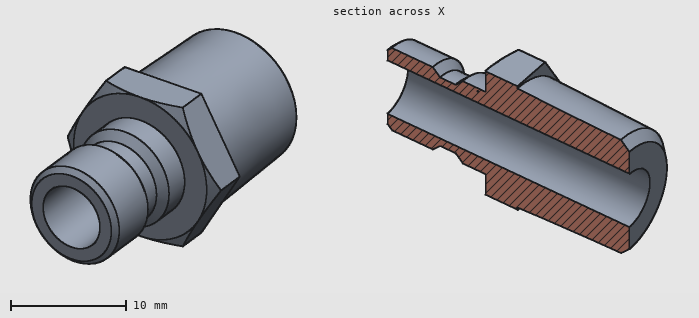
import cadquery as cq
import math

total_length = 26.0
hex_start = 10.5
hex_thickness = 3.48
hex_end = hex_start + hex_thickness
gauge_plane = 20.0

plug_radius = 4.68
tip_chamfer = 0.5
groove_radius = 3.9
groove_start = 4.9
groove_end = 8.1
groove_flank = plug_radius - groove_radius

across_flats = 14.0
across_corners = across_flats / math.cos(math.radians(30))
hex_chamfer_angle = 30

gauge_radius = 6.58
radius_slope = 1 / 32
end_chamfer = 0.9

bore_radius = 3.0


def taper_radius(y):
    """Radius of the pipe taper at station y."""
    return gauge_radius - (y - gauge_plane) * radius_slope


def revolve_about_y(points):
    """Solid of revolution from (radius, y) points."""
    return cq.Workplane("XY").polyline(points).close().revolve(360, (0, 0, 0), (0, 1, 0))


def cylinder_along_y(radius, start, end):
    return revolve_about_y([(0, start), (radius, start), (radius, end), (0, end)])


def make_plug():
    return revolve_about_y([
        (0, 0),
        (plug_radius - tip_chamfer, 0),
        (plug_radius, tip_chamfer),
        (plug_radius, groove_start),
        (groove_radius, groove_start + groove_flank),
        (groove_radius, groove_end - groove_flank),
        (plug_radius, groove_end),
        (plug_radius, hex_start),
        (0, hex_start),
    ])


def make_hex_collar():
    """Hexagon with corners on X, chamfered on the plug side only."""
    prism = (
        cq.Workplane("XZ", origin=(0, hex_end, 0))
        .polygon(6, across_corners)
        .extrude(hex_thickness)
    )
    face_radius = across_flats / 2
    corner_radius = across_corners / 2
    corner_depth = (corner_radius - face_radius) * math.tan(math.radians(hex_chamfer_angle))
    chamfer_envelope = revolve_about_y([
        (0, hex_start),
        (face_radius, hex_start),
        (corner_radius, hex_start + corner_depth),
        (corner_radius, hex_end),
        (0, hex_end),
    ])
    return prism.intersect(chamfer_envelope)


def make_pipe_end():
    chamfer_start = total_length - end_chamfer
    chamfer_radius = taper_radius(chamfer_start)
    return revolve_about_y([
        (0, hex_end),
        (taper_radius(hex_end), hex_end),
        (gauge_radius, gauge_plane),
        (chamfer_radius, chamfer_start),
        (chamfer_radius - end_chamfer, total_length),
        (0, total_length),
    ])


bore = cylinder_along_y(bore_radius, 0, total_length)
result = make_plug().union(make_hex_collar()).union(make_pipe_end()).cut(bore)